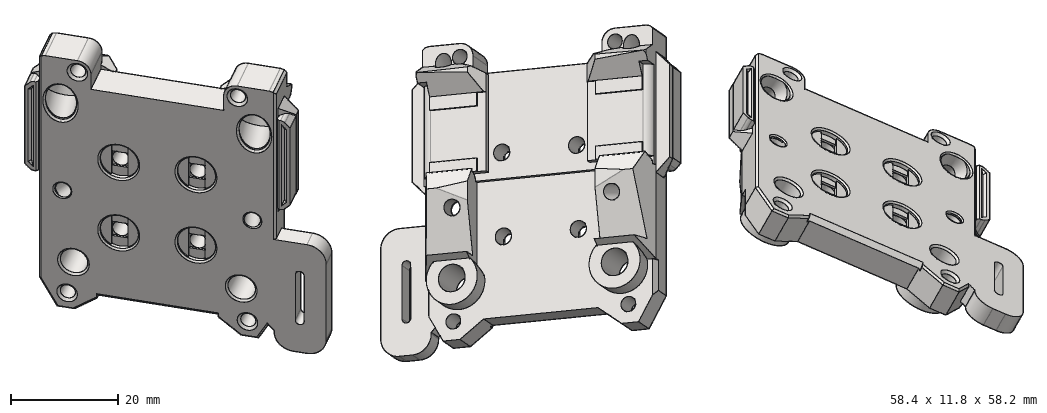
import cadquery as cq
import math

HALF_WIDTH = 22.95
HEIGHT = 58.25
LOWER_THICKNESS = 5.95
UPPER_THICKNESS = 6.85
UPPER_BOTTOM = 31.55
NOTCH_FLOOR = 52.2
LUG_INNER = 12.85
LUG_THICKNESS = 7.75
LUG_BOTTOM = 50.65
LUG_ROUND = 2.6
CORNER_BREAK = 0.5
CORNER_SLOPE_WIDTH = 1.3
CORNER_SLOPE_DROP = 0.2
WALL_BOTTOM = 7.6
FOOT_BOTTOM = 1.5
FOOT_OUTER = 19.5
FOOT_INNER = 16.1
BELLY_HALF_WIDTH = 11.4
BELLY_BOTTOM = 5.0
BELLY_BEVEL = 1.0
EDGE_CHAMFER = 0.4
FOOT_BEVEL_DEPTH = 1.4
FOOT_BEVEL_WIDTH = 0.65
FOOT_BEVEL_TOP = 13.45

TAB_THICKNESS = 4.0
TAB_LEFT = 22.6
TAB_RIGHT = 32.7
TAB_TOP = 24.7
TAB_ROUND = 3.75
TAB_NOTCH_X = 21.3
TAB_NOTCH_Z = 5.3
TAB_NOTCH_END = 4.05
SLOT_X = 27.6
SLOT_Z = 12.3
SLOT_LENGTH = 12.05
SLOT_WIDTH = 1.7

FLANGE_REACH = 2.75
FLANGE_OUTER = HALF_WIDTH + FLANGE_REACH
FLANGE_EMBED = 0.6
FLANGE_REAR = 5.9
FLANGE_LIP = 4.4
FLANGE_ROOT = FLANGE_LIP - FLANGE_REACH
FLANGE_BOTTOM = 30.1
FLANGE_TOP = 53.45
SUPPORT_GAP = 0.2
SUPPORT_BOTTOM = 31.7
SUPPORT_TOP = 51.95
SUPPORT_END_DROP = 1.35
SUPPORT_ROUND = 1.15
GROOVE_WIDTH = 1.0
GROOVE_DEPTH = 0.45
GROOVE_WALL = 0.7
GROOVE_BOTTOM = 32.6
GROOVE_TOP = 51.05

REAR = 11.8
CLAMP_INNER = 10.1
CLAMP_SLOPE_START = 12.75
CLAMP_SLOPE_END = 8.2
CLAMP_SHOULDER = 11.05
WEDGE_REAR = 11.55
WEDGE_SLOPE_START = 15.15
WEDGE_INNER_TOP = 51.9
WEDGE_TOP = 54.35
WEDGE_TIP = 52.35
WEDGE_BOTTOM = 48.25
RAIL_REAR = 8.1
RAIL_BOTTOM = 33.0
RAIL_ROUND = 1.75
PAD_REAR = 8.55
UPPER_PAD_LENGTH = 4.95
LOWER_PAD_LENGTH = 2.55
BULGE_TOP = 33.6
BULGE_TOP_REAR = 8.7
BULGE_TIP = 29.55
BULGE_LOW = 15.3
BULGE_TIP_X = 20.55
BULGE_CREST_END = 18.7
LIP_TOP = 16.8
LIP_REAR = 11.45
BOSS_DIAMETER = 10.15
BOSS_REAR = 10.0

TOP_HOLE = (15.5, 55.6)
FOOT_HOLE = (17.45, 5.15)
SCREW_HOLE = 2.9
SCREW_CHAMFER = 0.5
BIG_HOLE_CENTRE = (16.25, 12.4)
BIG_HOLE = 5.3
BIG_CHAMFER = 0.4
POCKET_X = 7.5
POCKET_ROWS = (20.6, 36.65)
POCKET_DIAMETER = 7.4
POCKET_CHAMFER = 0.35
POCKET_DEPTH = 0.7
POCKET_HOLE = 3.2
BRIDGE_STEP = 0.4
SKEW_HOLE_CENTRE = (18.4, 28.3)
SKEW_HOLE = 3.1
SKEW_CHAMFER = 0.3
SKEW_SHIFT = 1.85
INCLINED_HOLE_CENTRE = (18.75, 48.0)
INCLINED_TILT = 40.0
INCLINED_HEAD = 6.0
INCLINED_BORE = 3.2
INCLINED_CONE_START = 2.45
INCLINED_CONE_END = 5.25
INCLINED_CHAMFER = 0.4
INCLINED_LENGTH = 17.5

SIDES = (-1, 1)


def prism_along_y(points, start, end):
    """Extrude an (x, z) outline from y = start to y = end."""
    return cq.Workplane("XZ", origin=(0, start, 0)).polyline(points).close().extrude(start - end)


def prism_along_x(points, start, end):
    """Extrude a (y, z) outline from x = start to x = end."""
    return cq.Workplane("YZ", origin=(start, 0, 0)).polyline(points).close().extrude(end - start)


def prism_along_z(points, start, end):
    """Extrude an (x, y) outline from z = start to z = end."""
    return cq.Workplane("XY", origin=(0, 0, start)).polyline(points).close().extrude(end - start)


def on_side(shape, side):
    """Return a shape modelled at positive X, mirrored when side is -1."""
    return shape if side > 0 else shape.mirror("YZ")


def revolved_cut(profile, x, z, direction=(0, 1, 0)):
    """Revolve a (radius, depth) outline about an axis across X that enters the flat face at (x, z)."""
    sideways = cq.Vector(1, 0, 0)
    normal = sideways.cross(cq.Vector(*direction))
    plane = cq.Plane(origin=(x, 0, z), xDir=sideways.toTuple(), normal=normal.toTuple())
    return cq.Workplane(plane).polyline(profile).close().revolve(360, (0, 0), (0, 1))


def chamfered_hole(diameter, chamfer, depth):
    """(radius, depth) outline of a straight hole with a chamfered mouth."""
    radius = diameter / 2
    return [(0, 0), (radius + chamfer, 0), (radius, chamfer), (radius, depth), (0, depth)]


def plate_body():
    """Plate outline with two lugs and two feet, thinned behind."""
    right = [
        (LUG_INNER, NOTCH_FLOOR),
        (LUG_INNER, HEIGHT),
        (HALF_WIDTH - CORNER_SLOPE_WIDTH, HEIGHT),
        (HALF_WIDTH - CORNER_BREAK, HEIGHT - CORNER_SLOPE_DROP),
        (HALF_WIDTH, HEIGHT - CORNER_SLOPE_DROP - CORNER_BREAK),
        (HALF_WIDTH, WALL_BOTTOM),
        (FOOT_OUTER, FOOT_BOTTOM),
        (FOOT_INNER, FOOT_BOTTOM),
        (BELLY_HALF_WIDTH, BELLY_BOTTOM),
    ]
    left = [(-x, z) for x, z in reversed(right)]
    body = prism_along_y(right + left, 0, LUG_THICKNESS)
    margin = EDGE_CHAMFER
    lug_corners = cq.selectors.BoxSelector(
        (-LUG_INNER - margin, -margin, HEIGHT - margin), (LUG_INNER + margin, REAR, HEIGHT + margin)
    )
    body = body.edges("|Y").edges(lug_corners).fillet(LUG_ROUND)
    return body.cut(rear_relief())


def rear_relief():
    """Rear material removed behind the lower half, and behind the upper half below the lugs."""
    blocks = (
        (HALF_WIDTH, LOWER_THICKNESS, UPPER_BOTTOM),
        (HALF_WIDTH, UPPER_THICKNESS, LUG_BOTTOM),
        (LUG_INNER, UPPER_THICKNESS, HEIGHT),
    )
    relief = cq.Workplane("XY")
    for half_width, front, top in blocks:
        outline = [(-half_width, 0), (half_width, 0), (half_width, top), (-half_width, top)]
        relief = relief.union(prism_along_y(outline, front, LUG_THICKNESS))
    return relief


def edge_bevel(start, end, size):
    """Wedge for a 45 degree bevel along the outline edge from start to end, with the plate on its left."""
    run = cq.Vector(end[0] - start[0], 0, end[1] - start[1])
    outward = run.cross(cq.Vector(0, 1, 0))
    plane = cq.Plane(origin=(end[0], 0, end[1]), xDir=outward.toTuple(), normal=(-run).toTuple())
    overrun = EDGE_CHAMFER
    profile = [(-size, 0), (size, 0), (size, 2 * size)]
    wedge_section = cq.Workplane(plane).workplane(offset=-overrun).polyline(profile).close()
    return wedge_section.extrude(run.Length + 2 * overrun)


def front_bevels(side):
    """Chamfers of the flat face along the side wall, the foot and the belly edge."""
    outline = [
        (HALF_WIDTH, HEIGHT),
        (HALF_WIDTH, WALL_BOTTOM),
        (FOOT_OUTER, FOOT_BOTTOM),
        (FOOT_INNER, FOOT_BOTTOM),
        (BELLY_HALF_WIDTH, BELLY_BOTTOM),
    ]
    bevels = [edge_bevel(a, b, EDGE_CHAMFER) for a, b in zip(outline, outline[1:])]
    bevels.append(edge_bevel(outline[-1], (0, BELLY_BOTTOM), BELLY_BEVEL))
    return [on_side(bevel, side) for bevel in bevels]


def foot_rear_bevel(side):
    """Bevel of the rear edge of the side wall above the foot."""
    bevel = prism_along_z(
        [
            (HALF_WIDTH, LOWER_THICKNESS - FOOT_BEVEL_DEPTH),
            (HALF_WIDTH, LOWER_THICKNESS),
            (HALF_WIDTH - FOOT_BEVEL_WIDTH, LOWER_THICKNESS),
        ],
        0,
        FOOT_BEVEL_TOP,
    )
    return on_side(bevel, side)


def tab():
    """Rounded side tab, its link to the foot and its strap slot."""
    width = TAB_RIGHT - TAB_LEFT
    body = (
        cq.Workplane("XZ")
        .center(TAB_LEFT + width / 2, TAB_TOP / 2)
        .rect(width, TAB_TOP)
        .extrude(-TAB_THICKNESS)
    )
    body = body.edges("|Y").edges(">X or <Z").fillet(TAB_ROUND)
    link = prism_along_y(
        [
            (TAB_NOTCH_X, TAB_TOP),
            (TAB_LEFT + TAB_ROUND, TAB_TOP),
            (TAB_LEFT + TAB_ROUND, TAB_NOTCH_END),
            (TAB_LEFT, TAB_NOTCH_END),
            (TAB_NOTCH_X, TAB_NOTCH_Z),
        ],
        0,
        TAB_THICKNESS,
    )
    slot = (
        cq.Workplane("XZ")
        .center(SLOT_X, SLOT_Z)
        .slot2D(SLOT_LENGTH, SLOT_WIDTH, 90)
        .extrude(-TAB_THICKNESS)
    )
    return body.union(link).cut(slot)


def flange(side):
    """Trapezoidal side flange with a 45 degree underside."""
    section = prism_along_z(
        [
            (HALF_WIDTH - FLANGE_EMBED, FLANGE_REAR),
            (FLANGE_OUTER, FLANGE_REAR),
            (FLANGE_OUTER, FLANGE_LIP),
            (HALF_WIDTH, FLANGE_ROOT),
            (HALF_WIDTH - FLANGE_EMBED, FLANGE_ROOT),
        ],
        FLANGE_BOTTOM,
        FLANGE_TOP,
    )
    corner_cuts = [
        [(FLANGE_OUTER, end), (HALF_WIDTH, end), (FLANGE_OUTER, end + step)]
        for end, step in ((FLANGE_BOTTOM, FLANGE_REACH), (FLANGE_TOP, -FLANGE_REACH))
    ]
    for corner in corner_cuts:
        section = section.cut(prism_along_y(corner, 0, REAR))
    return on_side(section, side)


def wedge(side):
    """Ridge behind the lug, sloping away at its inner end."""
    ridge = prism_along_x(
        [
            (LOWER_THICKNESS, WEDGE_TOP),
            (LUG_THICKNESS, WEDGE_TOP),
            (WEDGE_REAR, WEDGE_TIP),
            (PAD_REAR, WEDGE_BOTTOM),
            (LOWER_THICKNESS, WEDGE_BOTTOM),
        ],
        CLAMP_INNER,
        HALF_WIDTH,
    )
    envelope = prism_along_z(
        [
            (CLAMP_INNER, UPPER_THICKNESS),
            (HALF_WIDTH, UPPER_THICKNESS),
            (HALF_WIDTH, WEDGE_REAR - EDGE_CHAMFER),
            (HALF_WIDTH - EDGE_CHAMFER, WEDGE_REAR),
            (CLAMP_SLOPE_START, CLAMP_SHOULDER),
            (CLAMP_INNER, CLAMP_SLOPE_END),
        ],
        0,
        HEIGHT,
    )
    face = prism_along_y(
        [
            (HALF_WIDTH, 0),
            (HALF_WIDTH, WEDGE_TOP),
            (WEDGE_SLOPE_START, WEDGE_TOP),
            (CLAMP_INNER, WEDGE_INNER_TOP),
            (CLAMP_INNER, 0),
        ],
        0,
        REAR,
    )
    step = cq.Workplane("XY").box(RAIL_ROUND, REAR, LUG_BOTTOM, centered=False)
    step = step.translate((HALF_WIDTH - RAIL_ROUND, 0, 0))
    return on_side(ridge.intersect(envelope).intersect(face).cut(step), side)


def rail(side):
    """Upright rail between wedge and bulge, with a raised pad at each end."""
    width = HALF_WIDTH - CLAMP_INNER
    depth = RAIL_REAR - LOWER_THICKNESS
    middle = CLAMP_INNER + width / 2
    length = LUG_BOTTOM - RAIL_BOTTOM
    body = cq.Workplane("XY").box(width, depth, length, centered=(True, False, False))
    body = body.edges("|Z and >X and >Y").fillet(RAIL_ROUND)
    body = body.translate((middle, LOWER_THICKNESS, RAIL_BOTTOM))
    pad_inset = 2 * RAIL_ROUND
    pads = (
        (RAIL_BOTTOM, LOWER_PAD_LENGTH),
        (LUG_BOTTOM - UPPER_PAD_LENGTH, UPPER_PAD_LENGTH),
    )
    for bottom, pad_length in pads:
        pad = cq.Workplane("XY").box(
            width - pad_inset, PAD_REAR - LOWER_THICKNESS, pad_length, centered=(True, False, False)
        )
        body = body.union(pad.translate((middle, LOWER_THICKNESS, bottom)))
    return on_side(body, side)


def bulge(side):
    """Long tapered bulge with a leaning outer face."""
    body = prism_along_x(
        [
            (LOWER_THICKNESS, UPPER_BOTTOM),
            (BULGE_TOP_REAR, BULGE_TOP),
            (REAR, BULGE_TIP),
            (LUG_THICKNESS, BULGE_LOW),
            (LOWER_THICKNESS, FOOT_BEVEL_TOP),
        ],
        CLAMP_SLOPE_START,
        HALF_WIDTH,
    )
    inner_cut = prism_along_z(
        [
            (CLAMP_SLOPE_START, CLAMP_SHOULDER),
            (BULGE_CREST_END, REAR),
            (CLAMP_SLOPE_START, REAR),
        ],
        0,
        HEIGHT,
    )
    return on_side(body.cut(leaning_cut()).cut(inner_cut), side)


def leaning_cut():
    """Material outside the leaning outer face that bulge and lip share."""
    corners = [(HALF_WIDTH, LOWER_THICKNESS), (HALF_WIDTH, REAR), (BULGE_TIP_X, REAR)]
    return prism_along_z(corners, 0, HEIGHT)


def lip(side):
    """Flat-topped lip above the boss, with a sloped underside."""
    body = prism_along_x(
        [(LOWER_THICKNESS, FOOT_BEVEL_TOP), (LOWER_THICKNESS, LIP_TOP), (LIP_REAR, LIP_TOP)],
        CLAMP_SLOPE_START,
        HALF_WIDTH,
    )
    return on_side(body.cut(leaning_cut()), side)


def boss(side):
    """Round boss whose upper part ends at the sloped underside of the lip."""
    x, z = BIG_HOLE_CENTRE
    outline = cq.Workplane("XZ", origin=(0, LOWER_THICKNESS, 0)).center(x, z)
    body = outline.circle(BOSS_DIAMETER / 2).extrude(LOWER_THICKNESS - BOSS_REAR)
    below_lip = prism_along_x(
        [
            (LOWER_THICKNESS, 0),
            (LOWER_THICKNESS, FOOT_BEVEL_TOP),
            (LIP_REAR, LIP_TOP),
            (LIP_REAR, 0),
        ],
        0,
        HALF_WIDTH,
    )
    return on_side(body.intersect(below_lip), side)


def straight_holes(side):
    """Chamfered screw holes and the big hole through the boss."""
    screw = chamfered_hole(SCREW_HOLE, SCREW_CHAMFER, REAR)
    big = chamfered_hole(BIG_HOLE, BIG_CHAMFER, REAR)
    return [
        revolved_cut(screw, side * TOP_HOLE[0], TOP_HOLE[1]),
        revolved_cut(screw, side * FOOT_HOLE[0], FOOT_HOLE[1]),
        revolved_cut(big, side * BIG_HOLE_CENTRE[0], BIG_HOLE_CENTRE[1]),
    ]


def pocket(x, z):
    """Round pocket stepping through a flat-sided slot and a square to a through hole."""
    round_part = revolved_cut(chamfered_hole(POCKET_DIAMETER, POCKET_CHAMFER, POCKET_DEPTH), x, z)
    slot_depth = POCKET_DEPTH + BRIDGE_STEP
    plane = cq.Workplane("XZ").center(x, z)
    disc = plane.circle(POCKET_DIAMETER / 2).extrude(-slot_depth)
    slot = plane.rect(POCKET_HOLE, POCKET_DIAMETER).extrude(-slot_depth).intersect(disc)
    square = plane.rect(POCKET_HOLE, POCKET_HOLE).extrude(-slot_depth - BRIDGE_STEP)
    hole = plane.circle(POCKET_HOLE / 2).extrude(-REAR)
    return round_part.union(slot).union(square).union(hole)


def skew_hole(side):
    """Hole drifting inward and downward through the plate, with a chamfered mouth."""
    x, z = SKEW_HOLE_CENTRE
    direction = cq.Vector(-side * SKEW_SHIFT, RAIL_REAR, -SKEW_SHIFT)
    start = cq.Vector(side * x, 0, z) - direction
    bore = cq.Workplane(cq.Solid.makeCylinder(SKEW_HOLE / 2, 3 * RAIL_REAR, start, direction))
    mouth = revolved_cut(chamfered_hole(SKEW_HOLE, SKEW_CHAMFER, 2 * SKEW_CHAMFER), side * x, z)
    return bore.union(mouth)


def inclined_hole(side):
    """Rising screw hole with a conical seat and a chamfered elliptical mouth."""
    x, z = INCLINED_HOLE_CENTRE
    tilt = math.radians(INCLINED_TILT)
    head = INCLINED_HEAD / 2
    bore = INCLINED_BORE / 2
    profile = [
        (0, -INCLINED_HEAD),
        (head, -INCLINED_HEAD),
        (head, INCLINED_CONE_START),
        (bore, INCLINED_CONE_END),
        (bore, INCLINED_LENGTH),
        (0, INCLINED_LENGTH),
    ]
    hole = revolved_cut(profile, side * x, z, (0, math.cos(tilt), math.sin(tilt)))
    mouth = (
        cq.Workplane("XZ")
        .center(side * x, z)
        .ellipse(head + INCLINED_CHAMFER, head / math.cos(tilt) + INCLINED_CHAMFER)
        .extrude(-INCLINED_CHAMFER, taper=45)
    )
    return hole.union(mouth)


def make_plate():
    body = plate_body()
    for side in SIDES:
        for part in (wedge, rail, bulge, lip, boss):
            body = body.union(part(side))
    for side in SIDES:
        for bevel in front_bevels(side):
            body = body.cut(bevel)
        body = body.cut(foot_rear_bevel(side))
        body = body.union(flange(side))
    body = body.union(tab())
    for side in SIDES:
        for hole in straight_holes(side):
            body = body.cut(hole)
        for row in POCKET_ROWS:
            body = body.cut(pocket(side * POCKET_X, row))
        body = body.cut(skew_hole(side)).cut(inclined_hole(side))
    return body


def make_support(side):
    """Grooved bar standing under a flange, just clear of the flange and the wall."""
    inner = HALF_WIDTH + SUPPORT_GAP
    top_drop = SUPPORT_GAP * math.sqrt(2)
    bar = prism_along_z(
        [
            (inner + EDGE_CHAMFER, 0),
            (FLANGE_OUTER, 0),
            (FLANGE_OUTER, FLANGE_LIP - top_drop),
            (inner, FLANGE_ROOT + SUPPORT_GAP - top_drop),
            (inner, EDGE_CHAMFER),
        ],
        SUPPORT_BOTTOM,
        SUPPORT_TOP,
    )
    shoulder = FLANGE_OUTER - SUPPORT_END_DROP
    outline = prism_along_y(
        [
            (inner, SUPPORT_BOTTOM),
            (shoulder, SUPPORT_BOTTOM),
            (FLANGE_OUTER, SUPPORT_BOTTOM + SUPPORT_END_DROP),
            (FLANGE_OUTER, SUPPORT_TOP - SUPPORT_END_DROP),
            (shoulder, SUPPORT_TOP),
            (inner, SUPPORT_TOP),
        ],
        0,
        FLANGE_LIP,
    )
    shoulder_edges = cq.selectors.BoxSelector(
        (shoulder - GROOVE_DEPTH, 0, 0), (shoulder + GROOVE_DEPTH, FLANGE_LIP, HEIGHT)
    )
    outline = outline.edges("|Y").edges(shoulder_edges).fillet(SUPPORT_ROUND)
    outer = FLANGE_OUTER - GROOVE_WALL
    groove = (
        cq.Workplane("XZ")
        .polyline(
            [
                (outer - GROOVE_WIDTH, GROOVE_BOTTOM),
                (outer, GROOVE_BOTTOM + GROOVE_WIDTH),
                (outer, GROOVE_TOP - GROOVE_WIDTH),
                (outer - GROOVE_WIDTH, GROOVE_TOP),
            ]
        )
        .close()
        .extrude(-GROOVE_DEPTH, taper=45)
    )
    return on_side(bar.intersect(outline).cut(groove), side)


plate = make_plate()
supports = [make_support(side) for side in SIDES]

result = cq.Compound.makeCompound([plate.val(), *[support.val() for support in supports]])